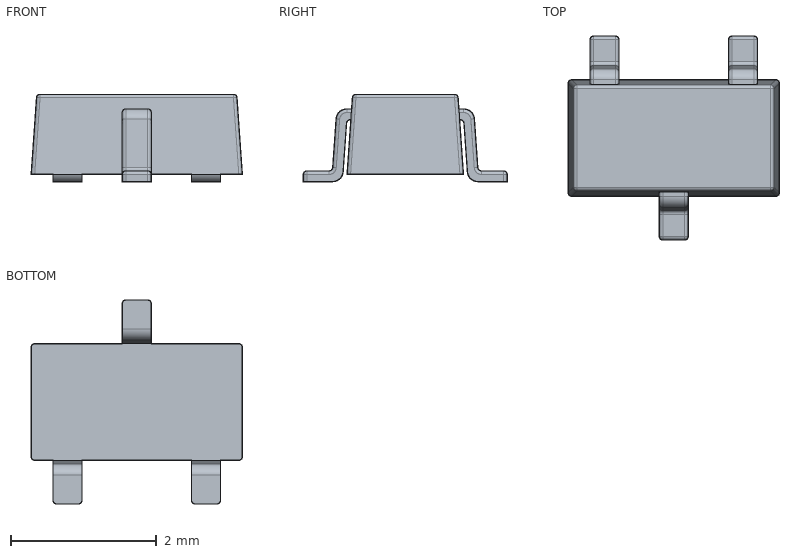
import cadquery as cq
import math

HOUSING_LENGTH = 2.9
HOUSING_WIDTH = 1.6
HOUSING_TOP = 1.2
STANDOFF = 0.1
HOUSING_HEIGHT = HOUSING_TOP - STANDOFF
DRAFT_ANGLE = 4.0
EDGE_RADIUS = 0.05

SPAN = 2.8
LEAD_WIDTH = 0.4
LEAD_THICKNESS = 0.15
LEAD_TOP = 1.0
HEEL_Y = 1.0
ANKLE_INNER_RADIUS = 0.05
ANKLE_OUTER_RADIUS = 0.15
SHOULDER_INNER_RADIUS = 0.05
SHOULDER_OUTER_RADIUS = 0.15
LEAD_PITCH = 0.95
CORNER_MARGIN = 0.005

SLOPE = math.tan(math.radians(DRAFT_ANGLE))


def make_housing():
    """Tapered block with rounded corners and a rounded top rim."""
    return (
        cq.Workplane("XY", origin=(0, 0, STANDOFF))
        .rect(HOUSING_LENGTH, HOUSING_WIDTH)
        .extrude(HOUSING_HEIGHT, taper=DRAFT_ANGLE)
        .edges("not #Z")
        .fillet(EDGE_RADIUS)
        .faces(">Z")
        .edges()
        .fillet(EDGE_RADIUS)
    )


def round_corner(blank, y, z, radius):
    """Round the bend edge that runs along X through the point (y, z)."""
    corner = cq.selectors.BoxSelector(
        (-LEAD_WIDTH, y - CORNER_MARGIN, z - CORNER_MARGIN),
        (LEAD_WIDTH, y + CORNER_MARGIN, z + CORNER_MARGIN),
    )
    return blank.edges("|X").edges(corner).fillet(radius)


def make_lead():
    """Bent strip leaving the housing on the +Y side, centred on X = 0."""
    toe_y = SPAN / 2
    shoulder_bottom = LEAD_TOP - LEAD_THICKNESS
    shank_depth = LEAD_THICKNESS / math.cos(math.radians(DRAFT_ANGLE))

    def outer_y(z):
        return HEEL_Y - (z - LEAD_THICKNESS) * SLOPE

    def inner_y(z):
        return outer_y(z) - shank_depth

    ankle_inner = (outer_y(LEAD_THICKNESS), LEAD_THICKNESS)
    ankle_outer = (inner_y(0), 0)
    shoulder_inner = (inner_y(shoulder_bottom), shoulder_bottom)
    shoulder_outer = (outer_y(LEAD_TOP), LEAD_TOP)

    lead = (
        cq.Workplane("YZ")
        .polyline([
            (toe_y, 0),
            (toe_y, LEAD_THICKNESS),
            ankle_inner,
            shoulder_outer,
            (0, LEAD_TOP),
            (0, shoulder_bottom),
            shoulder_inner,
            ankle_outer,
        ])
        .close()
        .extrude(LEAD_WIDTH / 2, both=True)
    )
    lead = round_corner(lead, *ankle_inner, ANKLE_INNER_RADIUS)
    lead = round_corner(lead, *ankle_outer, ANKLE_OUTER_RADIUS)
    lead = round_corner(lead, *shoulder_inner, SHOULDER_INNER_RADIUS)
    lead = round_corner(lead, *shoulder_outer, SHOULDER_OUTER_RADIUS)

    lead = lead.faces(">Y").edges("|Z").fillet(EDGE_RADIUS)
    return lead.faces(">Y").edges(">Z").fillet(EDGE_RADIUS)


housing = make_housing()
back_lead = make_lead()
front_lead = back_lead.rotate((0, 0, 0), (0, 0, 1), 180)

leads = []
for lead_shape, lead_x in [(front_lead, 0), (back_lead, -LEAD_PITCH), (back_lead, LEAD_PITCH)]:
    leads.append(lead_shape.translate((lead_x, 0, 0)).cut(housing))

result = cq.Compound.makeCompound([housing.val(), *[placed.val() for placed in leads]])